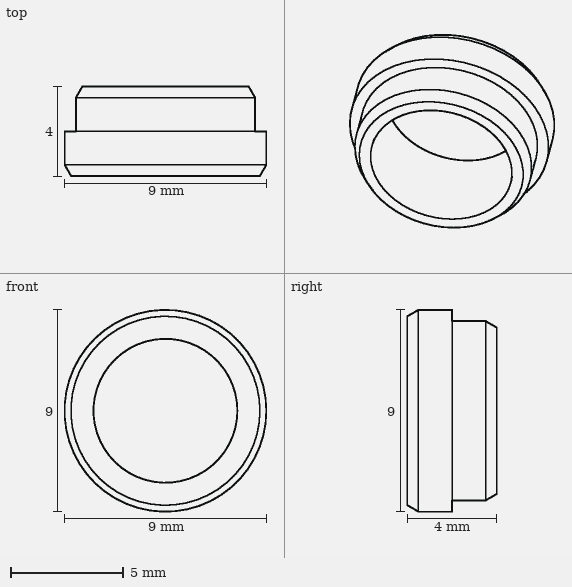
import cadquery as cq
import math

flange_diameter = 9.0
spigot_diameter = 8.0
bore_diameter = 6.4
total_length = 4.0
flange_length = total_length / 2

bevel_length = 0.5
bevel_angle = 30.0
bevel_depth = bevel_length * math.tan(math.radians(bevel_angle))

flange_radius = flange_diameter / 2
spigot_radius = spigot_diameter / 2
bore_radius = bore_diameter / 2

front_y = -flange_length
back_y = total_length - flange_length

half_section = [
    (bore_radius, front_y),
    (flange_radius - bevel_depth, front_y),
    (flange_radius, front_y + bevel_length),
    (flange_radius, 0),
    (spigot_radius, 0),
    (spigot_radius, back_y - bevel_length),
    (spigot_radius - bevel_depth, back_y),
    (bore_radius, back_y),
]

result = cq.Workplane("XY").polyline(half_section).close().revolve(360, (0, 0, 0), (0, 1, 0))